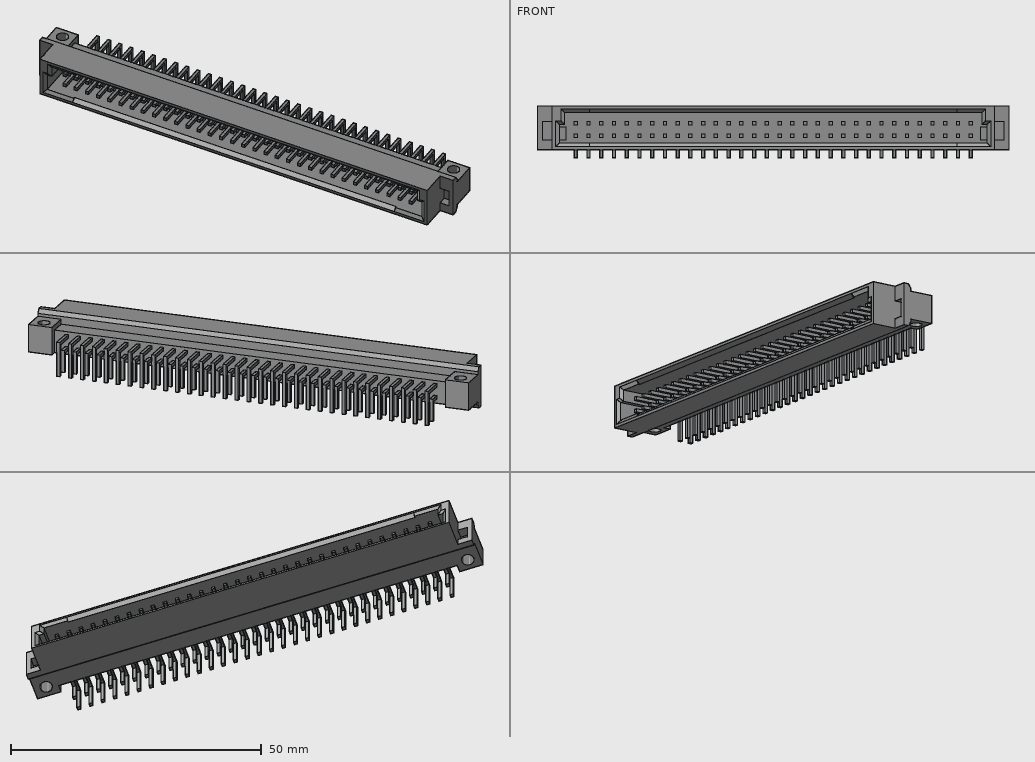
import cadquery as cq
import math

length = 94.0
depth = 15.6
overall_height = 10.3
shroud_height = 8.7

shroud_length = 88.1
flange_front = 5.4
taper_start = 6.5
flange_back = 7.05
taper_drop = 0.8

rear_top = 1.9
rear_back = 10.7
lug_length = 5.0
lug_height = 5.8
lug_back = 12.2
lug_hole_diameter = 2.4
lug_hole_spacing = 88.9
lug_hole_y = 10.15

pocket_length = 2.0
pocket_height = 3.7
pocket_center_z = -0.6
pocket_depth = 1.7

cavity_floor = 6.5
cavity_half_wide = 42.6
cavity_half_narrow = 41.55
cavity_bottom = -3.0
cavity_step = 0.7
cavity_top = 3.0
bevel_width = 0.75
end_bevel_angle = 30.0
steep_bevel_angle = 45.0
steep_bevel_length = 73.1

socket_length = 1.3
socket_bottom = -2.4
socket_top = 0.2
socket_depth = 0.9

columns = 32
pitch = 2.5
pin_size = 0.68
pin_tip = 1.7
upper_row_z = 0.9
tail_bottom = shroud_height / 2 - overall_height


def block(x_limits, y_limits, z_limits):
    """Axis-aligned box between pairs of limits, each pair given in either order."""
    limits = [sorted(pair) for pair in (x_limits, y_limits, z_limits)]
    size = [high - low for low, high in limits]
    corner = tuple(low for low, high in limits)
    return cq.Workplane("XY").box(*size, centered=False).translate(corner)


def centred(width):
    """Limits of a span centred on zero."""
    return (-width / 2, width / 2)


def flange():
    top = shroud_height / 2
    profile = [
        (flange_front, -top),
        (taper_start, -top),
        (flange_back, -top + taper_drop),
        (flange_back, top - taper_drop),
        (taper_start, top),
        (flange_front, top),
    ]
    return cq.Workplane("YZ").polyline(profile).close().extrude(length / 2, both=True)


def housing():
    """Solid shroud, flange, rear body and lugs, with the lug holes drilled."""
    shroud = block(centred(shroud_length), (0, flange_front), centred(shroud_height))
    rear = block(centred(length), (taper_start, rear_back), (-lug_height / 2, rear_top))
    solid = shroud.union(flange()).union(rear)
    for side in (-1, 1):
        lug_x = (side * length / 2, side * (length / 2 - lug_length))
        solid = solid.union(block(lug_x, (taper_start, lug_back), centred(lug_height)))
    holes = (
        cq.Workplane("XY")
        .pushPoints([(x, lug_hole_y) for x in centred(lug_hole_spacing)])
        .circle(lug_hole_diameter / 2)
        .extrude(lug_height, both=True)
    )
    return solid.cut(holes)


def cavity_outline(growth):
    """Corners of the cavity cross-section, moved outwards by the given growth."""
    wide = cavity_half_wide + growth
    narrow = cavity_half_narrow + growth
    bottom = cavity_bottom - growth
    step = cavity_step + growth
    top = cavity_top + growth
    return [
        (-wide, bottom),
        (wide, bottom),
        (wide, step),
        (narrow, step),
        (narrow, top),
        (-narrow, top),
        (-narrow, step),
        (-wide, step),
    ]


def bevel_depth(angle):
    """Depth of a mouth bevel inclined at the given angle to the mating face."""
    return bevel_width * math.tan(math.radians(angle))


def cavity():
    well = cq.Workplane("XZ").polyline(cavity_outline(0)).close().extrude(-cavity_floor)
    mouth = (
        cq.Workplane("XZ")
        .polyline(cavity_outline(bevel_width))
        .close()
        .workplane(offset=-bevel_depth(end_bevel_angle))
        .polyline(cavity_outline(0))
        .close()
        .loft(ruled=True)
    )
    steep_depth = bevel_depth(steep_bevel_angle)
    steep_profile = [
        (0, cavity_bottom - bevel_width),
        (steep_depth, cavity_bottom),
        (steep_depth, cavity_top),
        (0, cavity_top + bevel_width),
    ]
    steep_mouth = (
        cq.Workplane("YZ").polyline(steep_profile).close().extrude(steep_bevel_length / 2, both=True)
    )
    return well.union(mouth).union(steep_mouth)


def flange_pocket(side):
    start = shroud_length / 2
    return block(
        (side * start, side * (start + pocket_length)),
        (flange_front, flange_front + pocket_depth),
        (pocket_center_z - pocket_height / 2, pocket_center_z + pocket_height / 2),
    )


def floor_socket(side):
    return block(
        (side * cavity_half_wide, side * (cavity_half_wide - socket_length)),
        (cavity_floor, cavity_floor + socket_depth),
        (socket_bottom, socket_top),
    )


def contact(x, z, back):
    """Right-angle contact: straight pin through the body, tail bent down behind it."""
    width = (x - pin_size / 2, x + pin_size / 2)
    bottom = z - pin_size / 2
    top = z + pin_size / 2
    pin = block(width, (pin_tip, back), (bottom, top))
    tail = block(width, (back - pin_size, back), (tail_bottom, top))
    return pin.union(tail)


body = housing().cut(cavity())
for side in (-1, 1):
    body = body.cut(flange_pocket(side)).cut(floor_socket(side))

contacts = []
for column in range(columns):
    x = (column - (columns - 1) / 2) * pitch
    for row_shift in (0, pitch):
        contacts.append(contact(x, upper_row_z - row_shift, depth - row_shift).val())

result = cq.Workplane(body.val().fuse(*contacts))